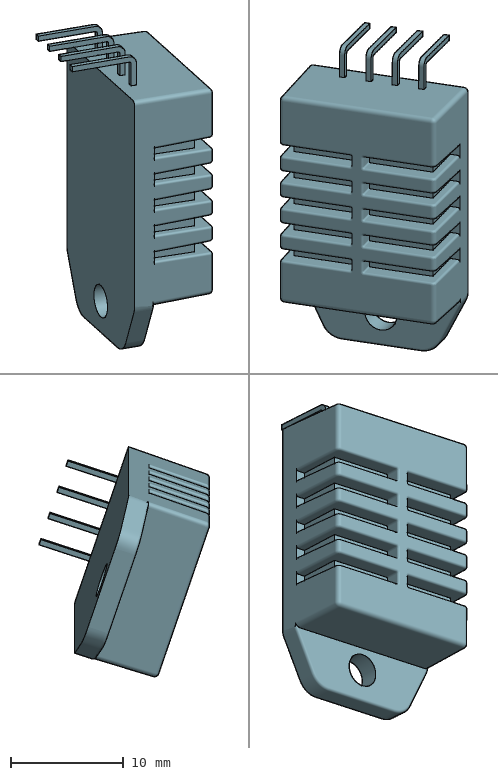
import cadquery as cq
import math

HOUSING_WIDTH = 15.1
HOUSING_DEPTH = 7.7
HOUSING_TOP = 25.1
BOX_BOTTOM = 5.1
DRAFT_ANGLE = 1.0
BOX_EDGE_RADIUS = 0.42

TAB_THICKNESS = 1.92
TAB_END_WIDTH = 9.98
TAB_END_RADIUS = 2.0
TAB_SHOULDER_RADIUS = 1.5
TAB_EDGE_RADIUS = 0.25
MOUNTING_HOLE_DIAMETER = 3.0
MOUNTING_HOLE_HEIGHT = 3.0

SLOT_COUNT = 5
LOWEST_SLOT_HEIGHT = 9.82
HIGHEST_SLOT_HEIGHT = 19.8
SLOT_WIDTH = 0.92
SIDE_SLOT_DEPTH = 0.95
BACK_SLOT_DEPTH = 1.53
CENTRE_RIB_WIDTH = 1.12
SLOT_CORNER_RADIUS = 0.15
SLOT_MOUTH_RADIUS = 0.21

PIN_COUNT = 4
PIN_PITCH = 2.5
PIN_THICKNESS = 0.5
PIN_BACK = 1.7
PIN_TIP = -4.5
PIN_TOP = 27.9
PIN_INNER_BEND_RADIUS = 0.2

HALF_WIDTH = HOUSING_WIDTH / 2
MARGIN = 0.55


def drafted_block(bottom, top):
    """Block on the front face that narrows towards the back at the draft angle."""
    return (
        cq.Workplane("XZ", origin=(0, 0, (bottom + top) / 2))
        .rect(HOUSING_WIDTH, top - bottom)
        .extrude(-HOUSING_DEPTH, taper=DRAFT_ANGLE)
    )


def make_box():
    box = drafted_block(BOX_BOTTOM, HOUSING_TOP)
    return box.edges("not <Y").fillet(BOX_EDGE_RADIUS)


def make_tab():
    """Tab with slanted sides, reaching up into the box past the rounding of its lower corners."""
    tab_top = BOX_BOTTOM + BOX_EDGE_RADIUS + MARGIN
    tab = (
        cq.Workplane("XZ")
        .moveTo(-TAB_END_WIDTH / 2, 0)
        .lineTo(TAB_END_WIDTH / 2, 0)
        .lineTo(HALF_WIDTH, BOX_BOTTOM)
        .lineTo(HALF_WIDTH, tab_top)
        .lineTo(-HALF_WIDTH, tab_top)
        .lineTo(-HALF_WIDTH, BOX_BOTTOM)
        .close()
        .extrude(-TAB_THICKNESS)
    )
    tab = tab.edges("|Y and <Z").fillet(TAB_END_RADIUS)
    shoulders = cq.selectors.BoxSelector(
        (-HOUSING_WIDTH, -MARGIN, BOX_BOTTOM - MARGIN / 2),
        (HOUSING_WIDTH, HOUSING_DEPTH, BOX_BOTTOM + MARGIN / 2),
    )
    tab = tab.edges("|Y").edges(shoulders).fillet(TAB_SHOULDER_RADIUS)
    tab = tab.faces(">Y").edges("not >Z").fillet(TAB_EDGE_RADIUS)
    return tab.intersect(drafted_block(-MARGIN, HOUSING_TOP))


def make_mounting_hole():
    return (
        cq.Workplane("XZ", origin=(0, 0, MOUNTING_HOLE_HEIGHT))
        .circle(MOUNTING_HOLE_DIAMETER / 2)
        .extrude(-TAB_THICKNESS)
    )


def slot_wedge(floor_depth, inner_x, height):
    """Wedge from the -X side to inner_x, whose walls spread backwards at the draft angle."""
    spread = math.tan(math.radians(DRAFT_ANGLE))
    wedge_back = HOUSING_DEPTH + MARGIN
    floor_half = SLOT_WIDTH / 2 + (floor_depth - TAB_THICKNESS) * spread
    back_half = SLOT_WIDTH / 2 + (wedge_back - TAB_THICKNESS) * spread
    outer_x = -HALF_WIDTH - MARGIN
    return (
        cq.Workplane("YZ", origin=(outer_x, 0, height))
        .polyline(
            [
                (floor_depth, -floor_half),
                (wedge_back, -back_half),
                (wedge_back, back_half),
                (floor_depth, floor_half),
            ]
        )
        .close()
        .extrude(inner_x - outer_x)
    )


def make_slot(height):
    """Shallow slot in the -X side, joined to a groove across the back up to the centre rib."""
    side_slot = slot_wedge(TAB_THICKNESS, -HALF_WIDTH + SIDE_SLOT_DEPTH, height)
    groove = slot_wedge(HOUSING_DEPTH - BACK_SLOT_DEPTH, -CENTRE_RIB_WIDTH / 2, height)
    groove = groove.faces(">X").edges("not |Z").fillet(SLOT_CORNER_RADIUS)
    return side_slot.union(groove)


def round_slot_mouths(housing):
    """Round the side edges of every slot; the rounding runs on along the edges in the back face."""
    for side in (-1, 1):
        side_edges = cq.selectors.BoxSelector(
            (side * HALF_WIDTH, TAB_THICKNESS + MARGIN, LOWEST_SLOT_HEIGHT - SLOT_WIDTH),
            (
                side * (HALF_WIDTH - SIDE_SLOT_DEPTH / 2),
                HOUSING_DEPTH - BACK_SLOT_DEPTH,
                HIGHEST_SLOT_HEIGHT + SLOT_WIDTH,
            ),
        )
        housing = housing.edges(side_edges).fillet(SLOT_MOUTH_RADIUS)
    return housing


def make_housing():
    housing = make_box().union(make_tab()).cut(make_mounting_hole())
    slot_pitch = (HIGHEST_SLOT_HEIGHT - LOWEST_SLOT_HEIGHT) / (SLOT_COUNT - 1)
    for index in range(SLOT_COUNT):
        slot = make_slot(LOWEST_SLOT_HEIGHT + index * slot_pitch)
        housing = housing.cut(slot).cut(slot.mirror("YZ"))
    return round_slot_mouths(housing)


def make_pin(x, housing):
    """Square pin bent forward at a right angle, ending on the top of the housing."""
    outer_bend_radius = PIN_INNER_BEND_RADIUS + PIN_THICKNESS
    leg_front = PIN_BACK - PIN_THICKNESS
    arm_underside = PIN_TOP - PIN_THICKNESS
    leg_bottom = HOUSING_TOP - MARGIN
    bend_y = PIN_BACK - outer_bend_radius
    bend_z = PIN_TOP - outer_bend_radius
    pin = (
        cq.Workplane("YZ", origin=(x, 0, 0))
        .moveTo(PIN_BACK, leg_bottom)
        .lineTo(PIN_BACK, bend_z)
        .radiusArc((bend_y, PIN_TOP), -outer_bend_radius)
        .lineTo(PIN_TIP, PIN_TOP)
        .lineTo(PIN_TIP, arm_underside)
        .lineTo(bend_y, arm_underside)
        .radiusArc((leg_front, bend_z), PIN_INNER_BEND_RADIUS)
        .lineTo(leg_front, leg_bottom)
        .close()
        .extrude(PIN_THICKNESS / 2, both=True)
    )
    return pin.cut(housing)


housing = make_housing()
pins = [
    make_pin((index - (PIN_COUNT - 1) / 2) * PIN_PITCH, housing)
    for index in range(PIN_COUNT)
]

result = cq.Compound.makeCompound([housing.val(), *[pin.val() for pin in pins]])